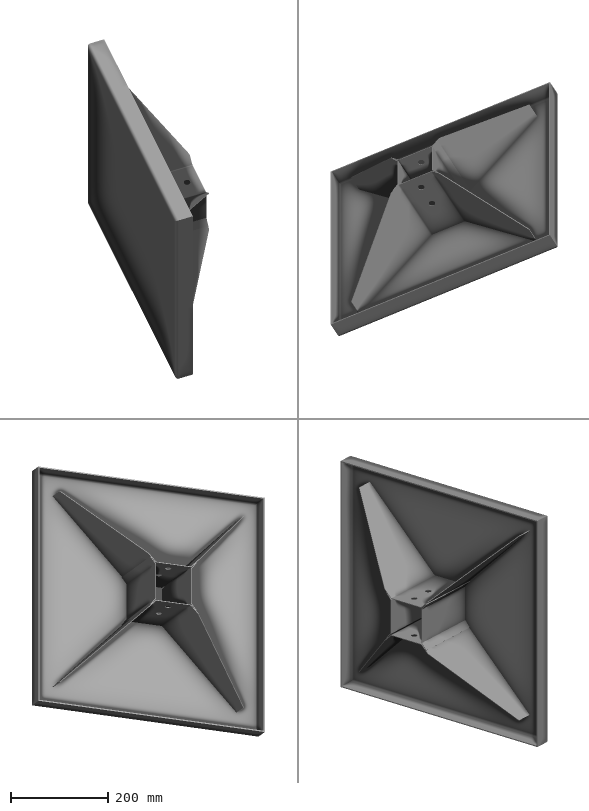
import cadquery as cq
import math

panel_size = 508.0
total_depth = 150.0

pan_sheet = 2.5
pan_depth = 38.0
pan_edge_radius = 6.5

bracket_sheet = 1.5
bend_radius = 4.0

cap_half_flat = 38.5
cap_height = 42.0
wing_angle = 44.7
wing_half_span_back = 55.5
wing_half_span_rim = 205.5

cheek_half_flat = 37.5
lip_angle = 40.0
lip_width = 13.5

hole_diameter = 13.0
hole_places = (75.0, 123.0)

wing_slope = math.radians(wing_angle)
lip_slope = math.radians(lip_angle)
bracket_length = total_depth - pan_sheet

lip_tip_z = cheek_half_flat + lip_width + bracket_sheet * math.sin(lip_slope)
wing_underside_rise = lip_tip_z - cap_height + bracket_sheet / math.cos(wing_slope)
lip_tip_x = cap_half_flat + wing_underside_rise / math.tan(wing_slope)
cheek_offset = lip_tip_x - lip_width * math.tan(lip_slope) + bracket_sheet * math.cos(lip_slope)


def rounded_block(size, radius):
    """Square block standing on Y = 0 with rounded front edges."""
    block = cq.Workplane("XY").box(size, pan_depth, size, centered=(True, False, True))
    return block.faces("<Y").edges().fillet(radius)


def make_pan():
    """Square sheet pan, open at the back."""
    outside = rounded_block(panel_size, pan_edge_radius)
    inside = rounded_block(panel_size - 2 * pan_sheet, pan_edge_radius - pan_sheet)
    return outside.cut(inside.translate((0, pan_sheet, 0)))


def bent_sheet(half_flat, height, slope, flange_width):
    """Flat sheet with its outer face at Z = height and a raised flange along both sides."""
    tip_x = half_flat + flange_width
    tip_z = height + flange_width * math.tan(slope)
    half_outline = [
        (half_flat, height),
        (tip_x, tip_z),
        (tip_x + bracket_sheet * math.sin(slope), tip_z - bracket_sheet * math.cos(slope)),
        (half_flat + bracket_sheet * math.tan(slope / 2), height - bracket_sheet),
    ]
    mirrored = [(-x, z) for x, z in reversed(half_outline)]
    return (
        cq.Workplane("XZ", origin=(0, pan_sheet, 0))
        .polyline(half_outline + mirrored)
        .close()
        .extrude(-bracket_length)
    )


def round_bends(cap):
    """Round the inside and the outside of both cap bends."""
    bends = cap.edges("|Y")
    inside = bends.filter(lambda edge: math.isclose(edge.Center().z, cap_height))
    cap = inside.fillet(bend_radius)
    outside = cap.edges("|Y and <Z")
    return outside.fillet(bend_radius + bracket_sheet)


def wing_taper():
    """Wedge that removes the back corner of the +X wing, square to its sheet."""
    def along_wing(x):
        return (x - cap_half_flat) / math.cos(wing_slope)

    wing_plane = cq.Plane(
        origin=(cap_half_flat, 0, cap_height),
        xDir=(math.cos(wing_slope), 0, math.sin(wing_slope)),
        normal=(-math.sin(wing_slope), 0, math.cos(wing_slope)),
    )
    return (
        cq.Workplane(wing_plane)
        .moveTo(along_wing(wing_half_span_back), total_depth)
        .lineTo(along_wing(wing_half_span_rim), pan_depth)
        .lineTo(along_wing(panel_size), pan_depth)
        .lineTo(along_wing(panel_size), total_depth)
        .close()
        .extrude(2 * bracket_sheet, both=True)
    )


def make_cap():
    """Bent cap with two long tapered wings and two bolt holes."""
    cap = bent_sheet(cap_half_flat, cap_height, wing_slope, wing_half_span_rim - cap_half_flat)
    cap = round_bends(cap)
    taper = wing_taper()
    holes = (
        cq.Workplane("XY")
        .pushPoints([(0, y) for y in hole_places])
        .circle(hole_diameter / 2)
        .extrude(2 * cap_height)
    )
    return cap.cut(taper).cut(taper.mirror("YZ")).cut(holes)


def make_cheek():
    """Plain side sheet facing +X, with a short lip along each cap wing."""
    cheek = bent_sheet(cheek_half_flat, cheek_offset, lip_slope, lip_width)
    return cheek.rotate((0, 0, 0), (0, 1, 0), 90)


def opposite_pair(body):
    """The body and a copy turned half a turn about the Y axis."""
    return [body.rotate((0, 0, 0), (0, 1, 0), turn).val() for turn in (0, 180)]


pan = make_pan()
caps = opposite_pair(make_cap())
cheeks = opposite_pair(make_cheek())

result = cq.Compound.makeCompound([pan.val(), *caps, *cheeks])